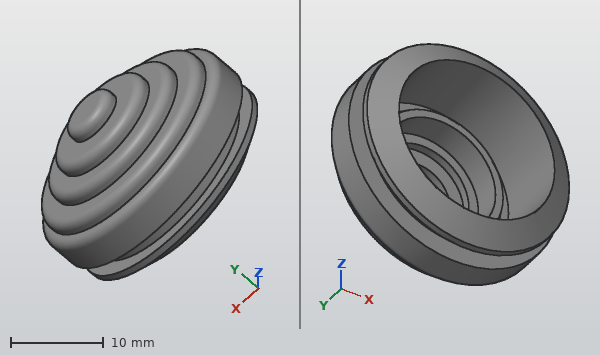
import cadquery as cq

total_length = 15.0

mouth_radius = 10.0
flange_radius = 13.0
bevel_length = 1.7
flange_back = 2.5
neck_radius = 11.0
body_front = 4.5
body_radius = 13.5

step_radii = [12.1, 9.35, 6.65, 3.2]
step_length = 1.6
edge_round = 1.0
body_back = total_length - len(step_radii) * step_length

mouth_depth = 9.1
ring_base_radius = 8.9
ring_tip_radius = 8.0
ring_tip_y = 7.1

bore_steps = [(7.02, 10.5), (5.8, 11.5), (4.0, 12.5)]


def revolve_about_y(profile):
    return profile.close().revolve(360, (0, 0, 0), (0, 1, 0))


def disc(radius, y_start, y_end):
    profile = cq.Workplane("XY").moveTo(0, y_start).lineTo(radius, y_start)
    return revolve_about_y(profile.lineTo(radius, y_end).lineTo(0, y_end))


def rounded_disc(radius, y_start, y_end):
    return disc(radius, y_start, y_end).faces(">Y").edges().fillet(edge_round)


def mouth_flange():
    profile = (
        cq.Workplane("XY")
        .lineTo(mouth_radius, 0)
        .lineTo(flange_radius, bevel_length)
        .lineTo(flange_radius, flange_back)
        .lineTo(0, flange_back)
    )
    return revolve_about_y(profile)


def outer_shape():
    shape = mouth_flange()
    shape = shape.union(disc(neck_radius, flange_back, body_front))
    shape = shape.union(rounded_disc(body_radius, body_front, body_back))
    for index, radius in enumerate(step_radii):
        y_start = body_back + index * step_length
        shape = shape.union(rounded_disc(radius, y_start, y_start + step_length))
    return shape


def mouth_cavity():
    """Mouth pocket that leaves the conical ring standing on its floor."""
    profile = (
        cq.Workplane("XY")
        .lineTo(mouth_radius, 0)
        .lineTo(mouth_radius, mouth_depth)
        .lineTo(ring_base_radius, mouth_depth)
        .lineTo(ring_tip_radius, ring_tip_y)
        .lineTo(0, ring_tip_y)
    )
    return revolve_about_y(profile)


result = outer_shape().cut(mouth_cavity())
for bore_radius, bore_floor in bore_steps:
    result = result.cut(disc(bore_radius, 0, bore_floor))